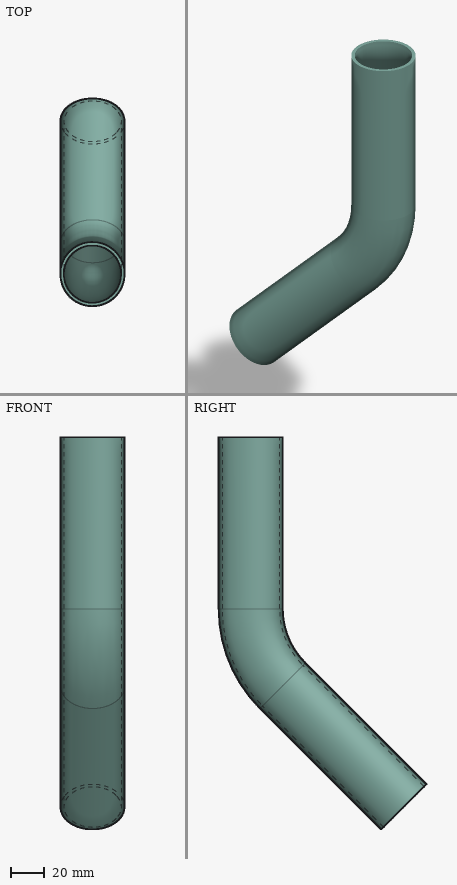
import cadquery as cq
import math

overall_height = 231.8
outer_diameter = 38.0
inner_diameter = 33.8
bend_radius = 64.2
bend_angle = 45.0
lower_leg_length = 101.3

sine = math.sin(math.radians(bend_angle))
cosine = math.cos(math.radians(bend_angle))
bend_drop = bend_radius * sine
lower_leg_drop = lower_leg_length * cosine
end_rim_drop = outer_diameter / 2 * sine
upper_leg_length = overall_height - bend_drop - lower_leg_drop - end_rim_drop


def tube_section(workplane):
    """Draw the ring-shaped cross-section of the tube."""
    return workplane.circle(outer_diameter / 2).circle(inner_diameter / 2)


upper_leg = tube_section(cq.Workplane("XY")).extrude(upper_leg_length)

bend = tube_section(cq.Workplane("XY")).revolve(
    bend_angle, (0, bend_radius, 0), (1, bend_radius, 0)
)

lower_leg_start = cq.Plane(
    origin=(0, bend_radius * (1 - cosine), -bend_drop),
    xDir=(1, 0, 0),
    normal=(0, sine, -cosine),
)
lower_leg = tube_section(cq.Workplane(lower_leg_start)).extrude(lower_leg_length)

result = upper_leg.union(bend).union(lower_leg)